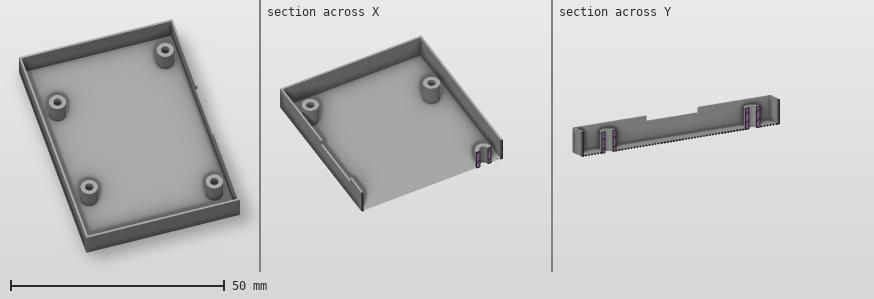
import cadquery as cq

length = 54.2
width = 37.55
height = 6.05
wall = 0.5
floor = 0.25

post_diameter = 4.0
hole_diameter = 2.0
post_height = 4.95
back_post_x = 19.75
back_post_y = 14.75
front_post_x = 12.75
front_post_y = -13.7

notch_length = 14.2
notch_depth = 1.3


def make_tray():
    """Open-topped box centred on the Z axis, resting on Z = 0."""
    outer = cq.Workplane("XY").box(length, width, height, centered=(True, True, False))
    cavity = (
        cq.Workplane("XY", origin=(0, 0, floor))
        .box(length - 2 * wall, width - 2 * wall, height - floor, centered=(True, True, False))
    )
    return outer.cut(cavity)


def make_cylinders(points, diameter, cylinder_height):
    """Upright cylinders starting at the underside of the tray."""
    return cq.Workplane("XY").pushPoints(points).circle(diameter / 2).extrude(cylinder_height)


def make_notch():
    """Block that lowers the middle of the back wall."""
    return (
        cq.Workplane("XY", origin=(0, width / 2 - wall / 2, height - notch_depth))
        .box(notch_length, wall, notch_depth, centered=(True, True, False))
    )


post_points = []
for side in (-1, 1):
    post_points.append((side * back_post_x, back_post_y))
    post_points.append((side * front_post_x, front_post_y))

post_top = floor + post_height
posts = make_cylinders(post_points, post_diameter, post_top)
holes = make_cylinders(post_points, hole_diameter, post_top)

result = make_tray().cut(make_notch()).union(posts).cut(holes)